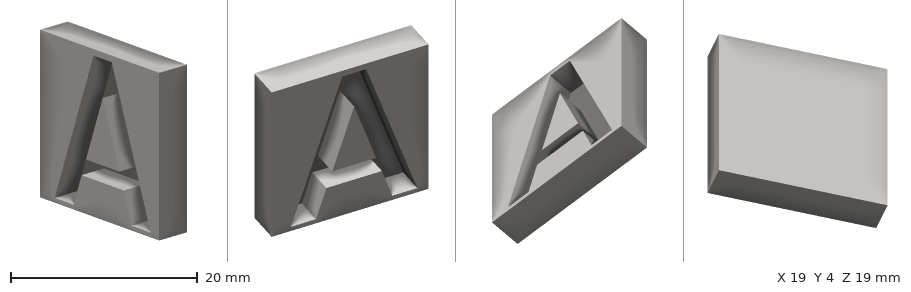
import cadquery as cq

BLOCK_SIDE = 19.0
BLOCK_THICKNESS = 4.0

POCKET_DEPTH = 3.25
POCKET_AXIS_X = 0.48
POCKET_TOP_Z = 8.75
POCKET_BOTTOM_Z = -8.95
TOP_HALF_WIDTH = 1.45
FOOT_OUTER_HALF_WIDTH = 7.65
FOOT_INNER_HALF_WIDTH = 4.62

CROSSBAR_BOTTOM_Z = -5.28
CROSSBAR_BOTTOM_HALF_WIDTH = 3.36
ISLAND_BASE_Z = -3.33
ISLAND_BASE_HALF_WIDTH = 2.65
ISLAND_APEX_Z = 4.33

FRONT_Y = -BLOCK_THICKNESS / 2


def front_prism(points):
    """Extrude an outline, given as (offset from pocket axis, z), from the -Y face to the pocket floor."""
    return (
        cq.Workplane("XZ", origin=(POCKET_AXIS_X, FRONT_Y, 0))
        .polyline(points)
        .close()
        .extrude(-POCKET_DEPTH)
    )


def letter_pocket():
    """Volume removed by the pocket: the A outline less its triangular island."""
    right_half = [
        (TOP_HALF_WIDTH, POCKET_TOP_Z),
        (FOOT_OUTER_HALF_WIDTH, POCKET_BOTTOM_Z),
        (FOOT_INNER_HALF_WIDTH, POCKET_BOTTOM_Z),
        (CROSSBAR_BOTTOM_HALF_WIDTH, CROSSBAR_BOTTOM_Z),
    ]
    left_half = [(-x, z) for x, z in reversed(right_half)]
    island = [
        (0, ISLAND_APEX_Z),
        (ISLAND_BASE_HALF_WIDTH, ISLAND_BASE_Z),
        (-ISLAND_BASE_HALF_WIDTH, ISLAND_BASE_Z),
    ]
    return front_prism(right_half + left_half).cut(front_prism(island))


block = cq.Workplane("XY").box(BLOCK_SIDE, BLOCK_THICKNESS, BLOCK_SIDE)
result = block.cut(letter_pocket())